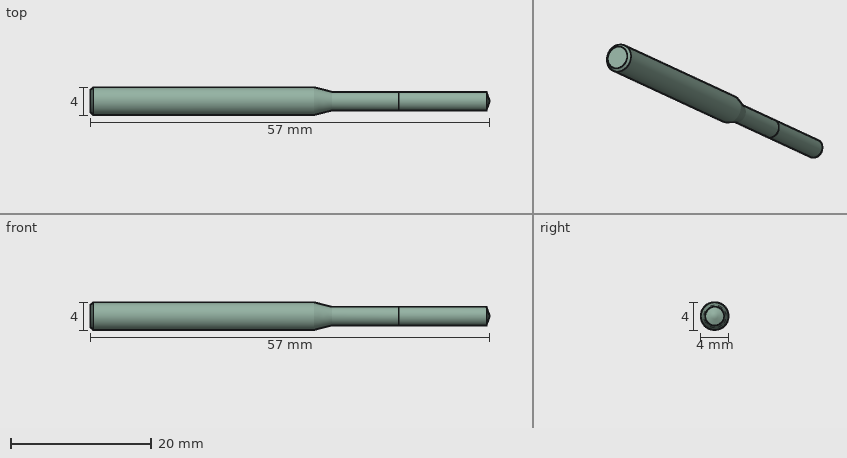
import cadquery as cq
import math

TOTAL_LENGTH = 57.0
TAPER_START = 31.9
TAPER_END = 34.5
CUTTING_START = 44.0

SHANK_DIAMETER = 4.0
CUTTING_DIAMETER = 2.7
REAR_CHAMFER = 0.4
POINT_ANGLE = 140.0

shank_radius = SHANK_DIAMETER / 2
cutting_radius = CUTTING_DIAMETER / 2
point_length = cutting_radius / math.tan(math.radians(POINT_ANGLE / 2))
point_start = TOTAL_LENGTH - point_length


def revolve_about_x(outline):
    """Turn a closed (x, radius) outline into a solid of revolution about X."""
    axis_start = (0, 0, 0)
    axis_end = (1, 0, 0)
    return cq.Workplane("XY").polyline(outline).close().revolve(360, axis_start, axis_end)


def make_shank():
    """Chamfered shank that tapers down to a neck of the cutting diameter."""
    return revolve_about_x([
        (0, 0),
        (0, shank_radius - REAR_CHAMFER),
        (REAR_CHAMFER, shank_radius),
        (TAPER_START, shank_radius),
        (TAPER_END, cutting_radius),
        (CUTTING_START, cutting_radius),
        (CUTTING_START, 0),
    ])


def make_cutting_end():
    """Plain cylinder with a conical point, butted against the neck."""
    return revolve_about_x([
        (CUTTING_START, 0),
        (CUTTING_START, cutting_radius),
        (point_start, cutting_radius),
        (TOTAL_LENGTH, 0),
    ])


shank = make_shank()
cutting_end = make_cutting_end()

result = cq.Compound.makeCompound([shank.val(), cutting_end.val()])